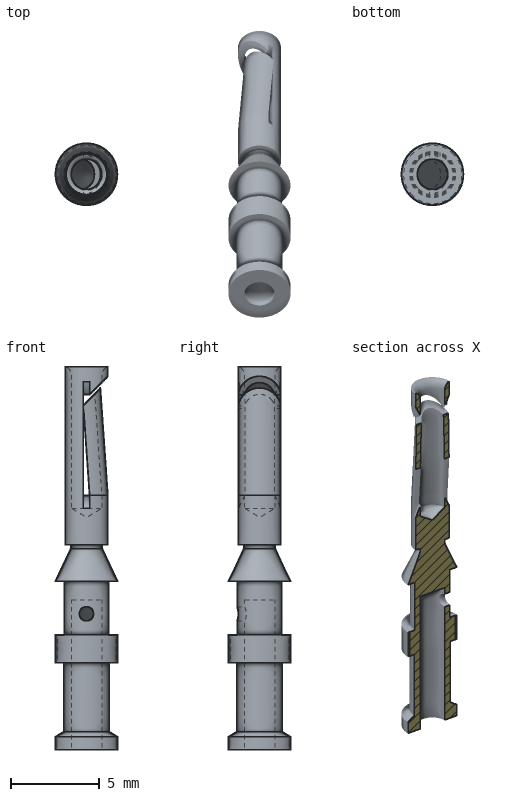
import cadquery as cq
import math

LENGTH = 21.65
OUTER_R = 3.5 / 2

FLANGE_RIM_Z = 0.74
FLANGE_TOP_Z = 1.02
COLLAR_BOTTOM_Z = 4.91
COLLAR_TOP_Z = 6.5
CONE_BOTTOM_Z = 9.53
CONE_TOP_Z = 11.37
SOCKET_BOTTOM_Z = 11.58

LOWER_BARREL_R = 2.6 / 2
UPPER_BARREL_R = 2.53 / 2
NECK_R = 1.78 / 2
SOCKET_R = 2.42 / 2
COLLAR_CORE_R = 3.3 / 2

BORE_R = 1.7 / 2
DRILL_POINT_ANGLE = 118.0
DRILL_POINT_DEPTH = BORE_R / math.tan(math.radians(DRILL_POINT_ANGLE / 2))
INSPECTION_HOLE_R = 0.8 / 2
INSPECTION_HOLE_Z = 7.69
WIRE_BORE_DEPTH = INSPECTION_HOLE_Z + 2 * INSPECTION_HOLE_R

MOUTH_R = 1.15
MOUTH_DEPTH = 0.5

SLOT_WIDTH = 0.35
SLOT_BOTTOM_Z = 14.38
SLOT_TOP_Z = 20.07
SLOT_END_FLARE = 0.71
SOCKET_BORE_BOTTOM_Z = SLOT_BOTTOM_Z - SLOT_END_FLARE

WINDOW_SLOPE_ANGLE = 45.0
TONGUE_BEND_ANGLE = 4.0
TONGUE_SHORT_SIDE = 5.15
TONGUE_LONG_SIDE = 6.08
TONGUE_ROOT_ALLOWANCE = 0.22


def revolved(profile):
    """Solid of revolution about Z from a closed profile in (radius, height)."""
    return profile.close().revolve(360, (0, 0, 0), (0, 1, 0))


def turned_blank():
    return revolved(
        cq.Workplane("XZ")
        .moveTo(0, 0)
        .lineTo(OUTER_R, 0)
        .lineTo(OUTER_R, FLANGE_RIM_Z)
        .lineTo(LOWER_BARREL_R, FLANGE_TOP_Z)
        .lineTo(LOWER_BARREL_R, COLLAR_BOTTOM_Z)
        .lineTo(COLLAR_CORE_R, COLLAR_BOTTOM_Z)
        .lineTo(COLLAR_CORE_R, COLLAR_TOP_Z)
        .lineTo(UPPER_BARREL_R, COLLAR_TOP_Z)
        .lineTo(UPPER_BARREL_R, CONE_BOTTOM_Z)
        .lineTo(OUTER_R, CONE_BOTTOM_Z)
        .lineTo(NECK_R, CONE_TOP_Z)
        .lineTo(NECK_R, SOCKET_BOTTOM_Z)
        .lineTo(SOCKET_R, SOCKET_BOTTOM_Z)
        .lineTo(SOCKET_R, LENGTH)
        .lineTo(0, LENGTH)
    )


def socket_bore():
    """Bore with a drill point at its bottom and a rounded lead-in, tangent to the bore, at its mouth."""
    lead_in = MOUTH_R - BORE_R
    lead_in_radius = (lead_in**2 + MOUTH_DEPTH**2) / (2 * lead_in)
    half_sweep = math.asin(MOUTH_DEPTH / lead_in_radius) / 2
    throat_z = LENGTH - MOUTH_DEPTH
    arc_middle = (
        BORE_R + lead_in_radius * (1 - math.cos(half_sweep)),
        throat_z + lead_in_radius * math.sin(half_sweep),
    )
    return revolved(
        cq.Workplane("XZ")
        .moveTo(0, SOCKET_BORE_BOTTOM_Z - DRILL_POINT_DEPTH)
        .lineTo(BORE_R, SOCKET_BORE_BOTTOM_Z)
        .lineTo(BORE_R, throat_z)
        .threePointArc(arc_middle, (MOUTH_R, LENGTH))
        .lineTo(0, LENGTH)
    )


def wire_bore():
    return cq.Workplane("XY").circle(BORE_R).extrude(WIRE_BORE_DEPTH)


def inspection_hole():
    """Hole from the -Y side into the wire bore."""
    return (
        cq.Workplane("XZ", origin=(0, 0, INSPECTION_HOLE_Z))
        .circle(INSPECTION_HOLE_R)
        .extrude(LOWER_BARREL_R)
    )


def slot():
    """Slab across the socket whose conical ends make it longer outside the wall than inside."""
    flare_per_radius = SLOT_END_FLARE / (SOCKET_R - BORE_R)
    flare = flare_per_radius * (OUTER_R - BORE_R)
    envelope = revolved(
        cq.Workplane("XZ")
        .moveTo(0, SLOT_BOTTOM_Z)
        .lineTo(BORE_R, SLOT_BOTTOM_Z)
        .lineTo(OUTER_R, SLOT_BOTTOM_Z - flare)
        .lineTo(OUTER_R, SLOT_TOP_Z + flare)
        .lineTo(BORE_R, SLOT_TOP_Z)
        .lineTo(0, SLOT_TOP_Z)
    )
    slab = cq.Workplane("XY").box(SLOT_WIDTH, 2 * SOCKET_R, 2 * LENGTH)
    return envelope.intersect(slab)


def extruded_through(points):
    """Prism with the given (x, z) outline, passing through the whole socket along Y."""
    return cq.Workplane("XZ").polyline(points).close().extrude(SOCKET_R, both=True)


def tongue_window():
    """Side opening from the slot to the +X side, closed above by a sloping edge."""
    side = SLOT_WIDTH / 2
    rise = (SOCKET_R - side) * math.tan(math.radians(WINDOW_SLOPE_ANGLE))
    return extruded_through([
        (side, SLOT_BOTTOM_Z),
        (side, SLOT_TOP_Z),
        (SOCKET_R, SLOT_TOP_Z + rise),
        (SOCKET_R, SLOT_BOTTOM_Z),
    ])


def tongue(tube):
    """Part of the tube wall beside the slot, leaning inward and trimmed flat at the slot bottom."""
    side = SLOT_WIDTH / 2
    root_z = SLOT_BOTTOM_Z - TONGUE_ROOT_ALLOWANCE
    outline = extruded_through([
        (side, root_z),
        (side, SLOT_BOTTOM_Z + TONGUE_SHORT_SIDE),
        (SOCKET_R, SLOT_BOTTOM_Z + TONGUE_LONG_SIDE),
        (SOCKET_R, root_z),
    ])
    hinge_start = (SOCKET_R, 0, SLOT_BOTTOM_Z)
    hinge_end = (SOCKET_R, 1, SLOT_BOTTOM_Z)
    leaning = tube.intersect(outline).rotate(hinge_start, hinge_end, -TONGUE_BEND_ANGLE)
    above_root = cq.Workplane("XY", origin=(0, 0, SLOT_BOTTOM_Z)).circle(OUTER_R).extrude(LENGTH)
    return leaning.intersect(above_root)


def make_contact():
    tube = turned_blank().cut(socket_bore())
    contact = tube.cut(wire_bore()).cut(inspection_hole())
    contact = contact.cut(slot()).cut(tongue_window())
    return contact.union(tongue(tube))


def make_collar_ring():
    """Thin ring around the collar of the contact."""
    return (
        cq.Workplane("XY", origin=(0, 0, COLLAR_BOTTOM_Z))
        .circle(OUTER_R)
        .circle(COLLAR_CORE_R)
        .extrude(COLLAR_TOP_Z - COLLAR_BOTTOM_Z)
    )


contact = make_contact()
collar_ring = make_collar_ring()

result = cq.Compound.makeCompound([contact.val(), collar_ring.val()])